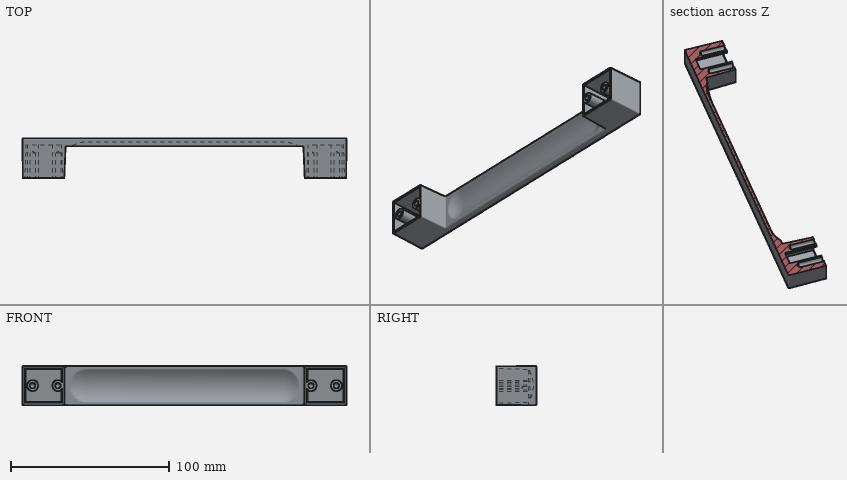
import cadquery as cq
import math

length = 205.03
depth = 25.4
height = 24.99
back_fillet = 1.0
corner_fillet = 0.9
outer_draft = 0.5

bar_thickness = 5.3
leg_foot_width = 26.6
leg_root_width = 27.45
gap_corner_radius = 0.6
bar_edge_fillet = 0.9

wall = 1.3
pocket_depth = 21.0
pocket_draft = 1.8

inner_screw_spacing = 160.0
outer_screw_spacing = 192.0
boss_diameter = 7.0
screw_hole_diameter = 3.5
screw_hole_depth = 16.0
drill_point_angle = 118.0
boss_rib_thickness = 1.0

groove_end_x = 61.85
groove_half_width = 10.3
groove_depth = 3.1
groove_rim_fillet = 2.0

bar_underside_y = depth - bar_thickness
half_root_gap = length / 2 - leg_root_width
half_foot_gap = length / 2 - leg_foot_width
foot_inset = depth * math.tan(math.radians(outer_draft))
fillet_trim = back_fillet * math.tan(math.radians(outer_draft))
selection_margin = 0.1


def xz_plane(y):
    """Work plane at the given y; positive extrusion runs toward -Y."""
    return cq.Workplane("XZ", origin=(0, y, 0))


def underside_edges(half_x, half_z):
    """Selector for edges on the bar underside within a centred rectangle."""
    return cq.selectors.BoxSelector(
        (-half_x, bar_underside_y - selection_margin, -half_z),
        (half_x, bar_underside_y + selection_margin, half_z),
    )


def make_block():
    """Drafted block with rounded corners and a rounded back face."""
    block = (
        xz_plane(depth)
        .rect(length + 2 * fillet_trim, height + 2 * fillet_trim)
        .extrude(depth, taper=outer_draft)
    )
    corner_edges = block.edges("not #Y").edges("not |X").edges("not |Z")
    block = corner_edges.fillet(corner_fillet)
    return block.faces(">Y").edges().fillet(back_fillet)


def make_gap():
    """Drafted opening between the legs, below the bar."""
    gap = (
        cq.Workplane("XY")
        .polyline([
            (-half_foot_gap, 0),
            (half_foot_gap, 0),
            (half_root_gap, bar_underside_y),
            (-half_root_gap, bar_underside_y),
        ])
        .close()
        .extrude(height, both=True)
    )
    return gap.faces(">Y").edges("|Z").fillet(gap_corner_radius)


def make_screw_hole(x):
    """Blind hole from the mounting plane, ending in a drill point."""
    radius = screw_hole_diameter / 2
    point_length = radius / math.tan(math.radians(drill_point_angle / 2))
    return (
        cq.Workplane("XY")
        .polyline([
            (0, 0),
            (radius, 0),
            (radius, screw_hole_depth),
            (0, screw_hole_depth + point_length),
        ])
        .close()
        .revolve(360, (0, 0, 0), (0, 1, 0))
        .translate((x, 0, 0))
    )


def make_leg_cavity(side):
    """Pocket of one leg, less its bosses and rib, plus its screw holes."""
    x_outer = length / 2 - foot_inset - wall
    x_inner = half_foot_gap + wall
    cavity = (
        xz_plane(0)
        .center(side * (x_outer + x_inner) / 2, 0)
        .rect(x_outer - x_inner, height - 2 * (foot_inset + wall))
        .extrude(-pocket_depth, taper=pocket_draft)
    )

    x_boss = outer_screw_spacing / 2
    rib = (
        xz_plane(0)
        .center(side * (x_boss + length / 2) / 2, 0)
        .rect(length / 2 - x_boss, boss_rib_thickness)
        .extrude(-pocket_depth)
    )
    cavity = cavity.cut(rib)

    screw_xs = [side * spacing / 2 for spacing in (inner_screw_spacing, outer_screw_spacing)]
    for x in screw_xs:
        boss = xz_plane(0).center(x, 0).circle(boss_diameter / 2).extrude(-pocket_depth)
        cavity = cavity.cut(boss)
    for x in screw_xs:
        cavity = cavity.union(make_screw_hole(x))
    return cavity


def make_groove():
    """Shallow cylindrical groove with spherical ends."""
    radius = (groove_half_width**2 + groove_depth**2) / (2 * groove_depth)
    axis_y = bar_underside_y + groove_depth - radius
    groove = (
        cq.Workplane("YZ", origin=(-groove_end_x, axis_y, 0))
        .circle(radius)
        .extrude(2 * groove_end_x)
    )
    for side in (-1, 1):
        end = cq.Workplane("XY").sphere(radius).translate((side * groove_end_x, axis_y, 0))
        groove = groove.union(end)
    bar_zone = xz_plane(depth).rect(length, height).extrude(bar_thickness)
    return groove.intersect(bar_zone)


result = make_block().cut(make_gap())
bar_edges = result.edges(underside_edges(half_root_gap, height)).edges("|X")
result = bar_edges.fillet(bar_edge_fillet)

for leg_side in (-1, 1):
    result = result.cut(make_leg_cavity(leg_side))

result = result.cut(make_groove())
rim_half_length = groove_end_x + groove_half_width + selection_margin
rim_half_width = groove_half_width + selection_margin
rim_edges = result.edges(underside_edges(rim_half_length, rim_half_width))
result = rim_edges.fillet(groove_rim_fillet)